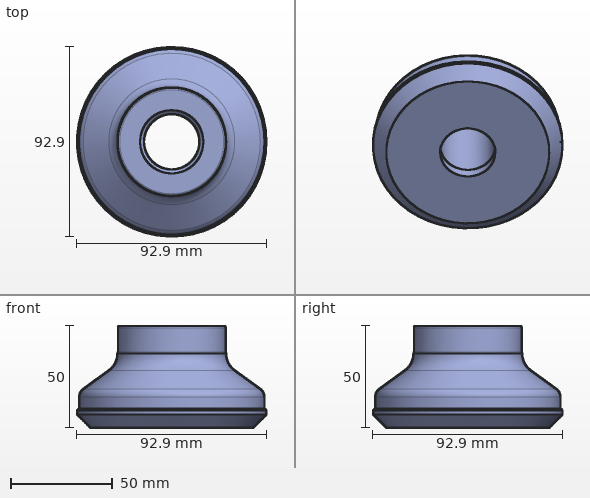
import cadquery as cq
import math

TOTAL_HEIGHT = 50.01
BORE_DIAMETER = 27.01
BORE_CHAMFER = 2.0

NECK_RADIUS = 53.0 / 2
NECK_TOP_FILLET = 1.0
NECK_BOTTOM_Z = 37.1
NECK_FLARE_HEIGHT = 0.6

SHOULDER_RADIUS = 53.5 / 2
SKIRT_RADIUS = 91.0 / 2
SKIRT_TOP_Z = 15.0
CONE_ANGLE = math.radians(36)
CONE_TOP_BLEND = 10.0
CONE_BOTTOM_BLEND = 5.0

RIM_RADIUS = 92.93 / 2
RIM_TOP_Z = 9.5
RIM_TOP_CHAMFER = RIM_RADIUS - SKIRT_RADIUS
FOOT_CHAMFER = 6.5

bore_radius = BORE_DIAMETER / 2


def blend_point(center_r, center_z, radius, angle):
    """Point of the (r, z) half plane on a blend arc, at an angle from the outward direction."""
    return (center_r + radius * math.cos(angle), center_z + radius * math.sin(angle))


def revolve_profile(profile):
    """Turn a closed (r, z) outline once around the Z axis."""
    return profile.close().revolve(360, (0, 0, 0), (0, 1, 0))


def make_housing():
    """Hollow neck that widens through a cone to a cylindrical skirt."""
    cone_normal = math.pi / 2 - CONE_ANGLE

    lower_center = (SKIRT_RADIUS - CONE_BOTTOM_BLEND, SKIRT_TOP_Z)
    lower_middle = blend_point(*lower_center, CONE_BOTTOM_BLEND, cone_normal / 2)
    cone_bottom = blend_point(*lower_center, CONE_BOTTOM_BLEND, cone_normal)

    upper_center_r = SHOULDER_RADIUS + CONE_TOP_BLEND
    cone_top_r = upper_center_r - CONE_TOP_BLEND * math.cos(cone_normal)
    cone_top_z = cone_bottom[1] + (cone_bottom[0] - cone_top_r) * math.tan(CONE_ANGLE)
    shoulder_z = cone_top_z + CONE_TOP_BLEND * math.sin(cone_normal)
    upper_middle = blend_point(upper_center_r, shoulder_z, CONE_TOP_BLEND, math.pi + cone_normal / 2)

    flare_width = SHOULDER_RADIUS - NECK_RADIUS
    flare_radius = (flare_width**2 + NECK_FLARE_HEIGHT**2) / (2 * flare_width)
    flare_angle = math.asin(NECK_FLARE_HEIGHT / flare_radius)
    flare_middle = blend_point(
        NECK_RADIUS + flare_radius, NECK_BOTTOM_Z, flare_radius, math.pi + flare_angle / 2
    )

    profile = (
        cq.Workplane("XZ")
        .moveTo(bore_radius, FOOT_CHAMFER)
        .lineTo(SKIRT_RADIUS, FOOT_CHAMFER)
        .lineTo(SKIRT_RADIUS, SKIRT_TOP_Z)
        .threePointArc(lower_middle, cone_bottom)
        .lineTo(cone_top_r, cone_top_z)
        .threePointArc(upper_middle, (SHOULDER_RADIUS, shoulder_z))
        .lineTo(SHOULDER_RADIUS, NECK_BOTTOM_Z - NECK_FLARE_HEIGHT)
        .threePointArc(flare_middle, (NECK_RADIUS, NECK_BOTTOM_Z))
        .lineTo(NECK_RADIUS, TOTAL_HEIGHT - NECK_TOP_FILLET)
        .tangentArcPoint((NECK_RADIUS - NECK_TOP_FILLET, TOTAL_HEIGHT), relative=False)
        .lineTo(bore_radius + BORE_CHAMFER, TOTAL_HEIGHT)
        .lineTo(bore_radius, TOTAL_HEIGHT - BORE_CHAMFER)
    )
    return revolve_profile(profile)


def make_foot_ring():
    """Bevelled ring under the housing, with a thin lip around the end of the skirt."""
    profile = (
        cq.Workplane("XZ")
        .moveTo(bore_radius, 0)
        .lineTo(RIM_RADIUS - FOOT_CHAMFER, 0)
        .lineTo(RIM_RADIUS, FOOT_CHAMFER)
        .lineTo(RIM_RADIUS, RIM_TOP_Z - RIM_TOP_CHAMFER)
        .lineTo(SKIRT_RADIUS, RIM_TOP_Z)
        .lineTo(SKIRT_RADIUS, FOOT_CHAMFER)
        .lineTo(bore_radius, FOOT_CHAMFER)
    )
    return revolve_profile(profile)


housing = make_housing()
foot_ring = make_foot_ring()

result = cq.Compound.makeCompound([housing.val(), foot_ring.val()])